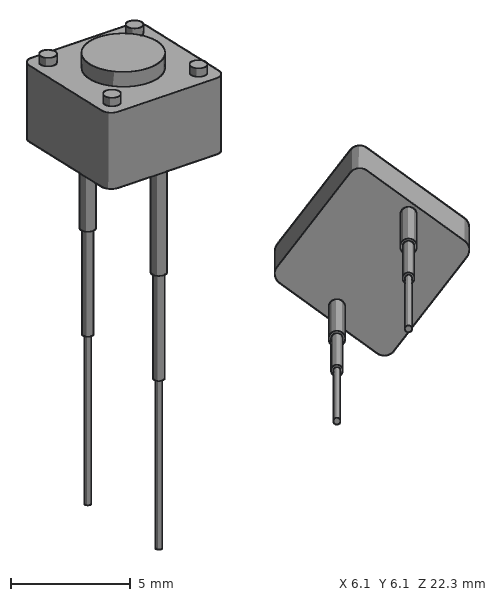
import cadquery as cq

HOUSING_SIDE = 6.1
HOUSING_HEIGHT = 3.6
HOUSING_CORNER_RADIUS = 0.5
HOUSING_OFFSET_X = 0.05

BUTTON_DIAMETER = 3.5
BUTTON_HEIGHT = 0.7

PEG_DIAMETER = 0.75
PEG_HEIGHT = 0.4
PEG_SPACING = 4.5

LEAD_SPACING = 5.0
LEAD_STEPS = [(0.7, 5.0), (0.5, 5.0), (0.3, 8.0)]


def make_housing():
    return (
        cq.Workplane("XY")
        .center(HOUSING_OFFSET_X, 0)
        .rect(HOUSING_SIDE, HOUSING_SIDE)
        .extrude(HOUSING_HEIGHT)
        .edges("|Z")
        .fillet(HOUSING_CORNER_RADIUS)
    )


def make_button():
    return cq.Workplane("XY", origin=(0, 0, HOUSING_HEIGHT)).circle(BUTTON_DIAMETER / 2).extrude(BUTTON_HEIGHT)


def make_pegs():
    return (
        cq.Workplane("XY", origin=(0, 0, HOUSING_HEIGHT))
        .rect(PEG_SPACING, PEG_SPACING, forConstruction=True)
        .vertices()
        .circle(PEG_DIAMETER / 2)
        .extrude(PEG_HEIGHT)
    )


def make_lead(x):
    lead = cq.Workplane("XY")
    step_top = 0.0
    for diameter, length in LEAD_STEPS:
        step = cq.Workplane("XY", origin=(x, 0, step_top)).circle(diameter / 2).extrude(-length)
        lead = lead.union(step)
        step_top -= length
    return lead


result = make_housing().union(make_button()).union(make_pegs())
for side in (-1, 1):
    result = result.union(make_lead(side * LEAD_SPACING / 2))